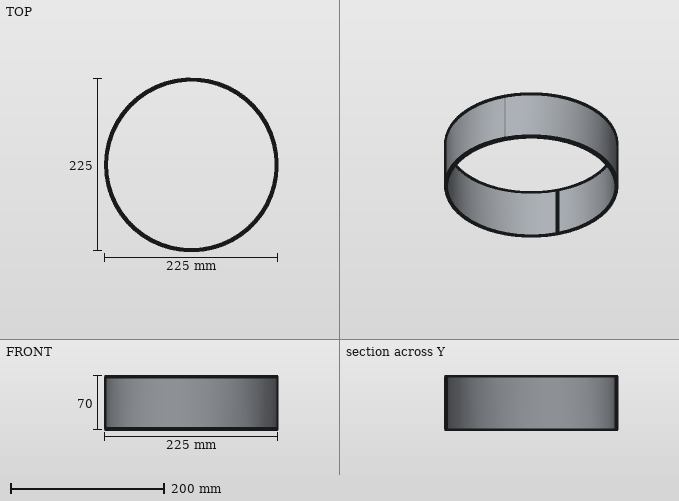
import cadquery as cq

outer_diameter = 225.0
wall = 2.5
height = 70.0
outer_bevel_width = 0.7
outer_bevel_height = 2.0
inner_chamfer = 0.5
gap = 2.0

outer_radius = outer_diameter / 2
inner_radius = outer_radius - wall
half_height = height / 2
outer_shoulder_z = half_height - outer_bevel_height
inner_shoulder_z = half_height - inner_chamfer
rim_outer_radius = outer_radius - outer_bevel_width
rim_inner_radius = inner_radius + inner_chamfer

band = (
    cq.Workplane("XZ")
    .moveTo(rim_inner_radius, -half_height)
    .lineTo(rim_outer_radius, -half_height)
    .lineTo(outer_radius, -outer_shoulder_z)
    .lineTo(outer_radius, outer_shoulder_z)
    .lineTo(rim_outer_radius, half_height)
    .lineTo(rim_inner_radius, half_height)
    .lineTo(inner_radius, inner_shoulder_z)
    .lineTo(inner_radius, -inner_shoulder_z)
    .close()
    .revolve(360, (0, 0, 0), (0, 1, 0))
)

slit = cq.Workplane("XY").box(4 * wall, gap, 2 * height).translate((-outer_radius, gap / 2, 0))

result = band.cut(slit)